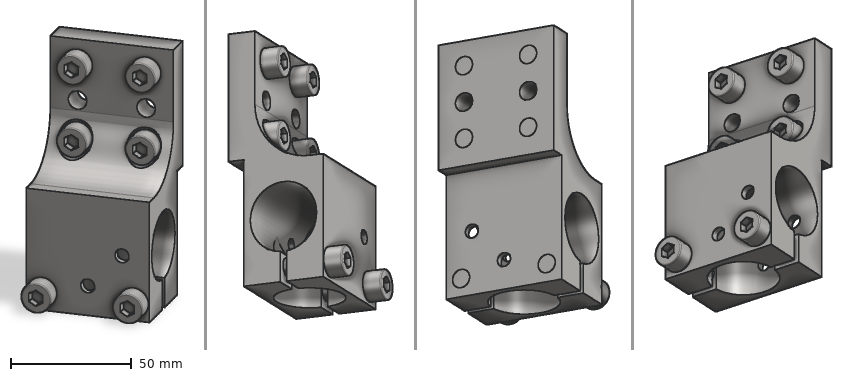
import cadquery as cq
import math

WIDTH = 54.0
HEIGHT = 109.5
PLATE_THICKNESS = 12.0
PLATE_HEIGHT = 55.0
BLOCK_DEPTH = 36.0
BLOCK_HEIGHT = 53.0
STEP_DEPTH = 7.0
FILLET_RADIUS = 25.0

BORE_DIAMETER = 30.0
BORE_HEIGHT = 28.0
SLOT_WIDTH = 3.0

PLATE_HOLE_X = 15.0
PLATE_HOLE_TOP_MARGIN = 11.0
PLATE_HOLE_PITCH = 16.0
PLATE_HOLE_DIAMETER = 8.0
COUNTERBORE_DIAMETER = 15.0
PIN_HOLE_DIAMETER = 6.0
LOWER_PIN_HOLE_HEIGHT = 13.0

HEAD_DIAMETER = 13.0
HEAD_HEIGHT = 8.0
HEAD_EDGE_RADIUS = 0.4
SHANK_DIAMETER = 8.0
SOCKET_FLATS = 6.0
SOCKET_DEPTH = 4.0
CLAMP_SCREW_X = 20.0
CLAMP_SCREW_HEIGHT = 8.0

PLATE_BACK = 0.0
PLATE_FRONT = PLATE_BACK - PLATE_THICKNESS
BLOCK_BACK = PLATE_BACK - STEP_DEPTH
BLOCK_FRONT = BLOCK_BACK - BLOCK_DEPTH
BORE_Y = (BLOCK_BACK + BLOCK_FRONT) / 2
UPPER_SCREW_HEIGHT = HEIGHT - PLATE_HOLE_TOP_MARGIN
OPEN_HOLE_HEIGHT = UPPER_SCREW_HEIGHT - PLATE_HOLE_PITCH
LOWER_SCREW_HEIGHT = OPEN_HOLE_HEIGHT - PLATE_HOLE_PITCH
SOCKET_CORNERS = SOCKET_FLATS / math.cos(math.pi / 6)

PLATE_SCREW_POINTS = [
    (x, z)
    for z in (UPPER_SCREW_HEIGHT, LOWER_SCREW_HEIGHT)
    for x in (-PLATE_HOLE_X, PLATE_HOLE_X)
]
CLAMP_SCREW_POINTS = [(x, CLAMP_SCREW_HEIGHT) for x in (-CLAMP_SCREW_X, CLAMP_SCREW_X)]
OPEN_HOLE_POINTS = [(x, OPEN_HOLE_HEIGHT) for x in (-PLATE_HOLE_X, PLATE_HOLE_X)]
COUNTERBORE_POINTS = [(x, LOWER_SCREW_HEIGHT) for x in (-PLATE_HOLE_X, PLATE_HOLE_X)]
PIN_HOLE_POINTS = [(PLATE_HOLE_X, BORE_HEIGHT), (0, LOWER_PIN_HOLE_HEIGHT)]


def cylinders_along_y(points, diameter, front, back):
    """Cylinders from the plane y = front to the plane y = back, centred on (x, z) points."""
    return (
        cq.Workplane("XZ", origin=(0, back, 0))
        .pushPoints(points)
        .circle(diameter / 2)
        .extrude(back - front)
    )


def make_bracket_blank():
    arc_offset = FILLET_RADIUS * (1 - math.cos(math.pi / 4))
    return (
        cq.Workplane("YZ", origin=(-WIDTH / 2, 0, 0))
        .moveTo(BLOCK_BACK, 0)
        .lineTo(BLOCK_FRONT, 0)
        .lineTo(BLOCK_FRONT, BLOCK_HEIGHT)
        .lineTo(PLATE_FRONT - FILLET_RADIUS, BLOCK_HEIGHT)
        .threePointArc(
            (PLATE_FRONT - arc_offset, BLOCK_HEIGHT + arc_offset),
            (PLATE_FRONT, BLOCK_HEIGHT + FILLET_RADIUS),
        )
        .lineTo(PLATE_FRONT, HEIGHT)
        .lineTo(PLATE_BACK, HEIGHT)
        .lineTo(PLATE_BACK, HEIGHT - PLATE_HEIGHT)
        .lineTo(BLOCK_BACK, HEIGHT - PLATE_HEIGHT)
        .close()
        .extrude(WIDTH)
    )


def make_clamp_opening():
    """The bore along X and the slot that opens it to the underside."""
    bore = (
        cq.Workplane("YZ", origin=(-WIDTH / 2, BORE_Y, BORE_HEIGHT))
        .circle(BORE_DIAMETER / 2)
        .extrude(WIDTH)
    )
    slot = cq.Workplane("XY", origin=(0, BORE_Y, 0)).rect(WIDTH, SLOT_WIDTH).extrude(BORE_HEIGHT)
    return bore.union(slot)


def make_cross_bore():
    """Vertical bore of the same diameter, from the main bore's axis down through the underside."""
    return cq.Workplane("XY", origin=(0, BORE_Y, 0)).circle(BORE_DIAMETER / 2).extrude(BORE_HEIGHT)


def make_bracket():
    return (
        make_bracket_blank()
        .cut(make_clamp_opening())
        .cut(make_cross_bore())
        .cut(cylinders_along_y(OPEN_HOLE_POINTS, PLATE_HOLE_DIAMETER, PLATE_FRONT, PLATE_BACK))
        .cut(cylinders_along_y(PLATE_SCREW_POINTS, SHANK_DIAMETER, PLATE_FRONT, PLATE_BACK))
        .cut(cylinders_along_y(COUNTERBORE_POINTS, COUNTERBORE_DIAMETER, BLOCK_FRONT, PLATE_FRONT))
        .cut(cylinders_along_y(CLAMP_SCREW_POINTS, SHANK_DIAMETER, BLOCK_FRONT, BLOCK_BACK))
        .cut(cylinders_along_y(PIN_HOLE_POINTS, PIN_HOLE_DIAMETER, BLOCK_FRONT, BLOCK_BACK))
    )


def make_screw(x, z, seat, tip):
    """Socket head screw with its head in front of y = seat and its shank ending at y = tip."""
    head_front = seat - HEAD_HEIGHT
    head = (
        cylinders_along_y([(x, z)], HEAD_DIAMETER, head_front, seat)
        .faces("<Y")
        .edges()
        .fillet(HEAD_EDGE_RADIUS)
    )
    shank = cylinders_along_y([(x, z)], SHANK_DIAMETER, seat, tip)
    socket = (
        cq.Workplane("XZ", origin=(x, head_front, z))
        .transformed(rotate=(0, 0, 90))
        .polygon(6, SOCKET_CORNERS)
        .extrude(-SOCKET_DEPTH)
    )
    return head.union(shank).cut(socket)


bracket = make_bracket()
plate_screws = [make_screw(x, z, PLATE_FRONT, PLATE_BACK) for x, z in PLATE_SCREW_POINTS]
clamp_screws = [make_screw(x, z, BLOCK_FRONT, BLOCK_BACK) for x, z in CLAMP_SCREW_POINTS]

result = cq.Compound.makeCompound(
    [bracket.val(), *[screw.val() for screw in plate_screws + clamp_screws]]
)